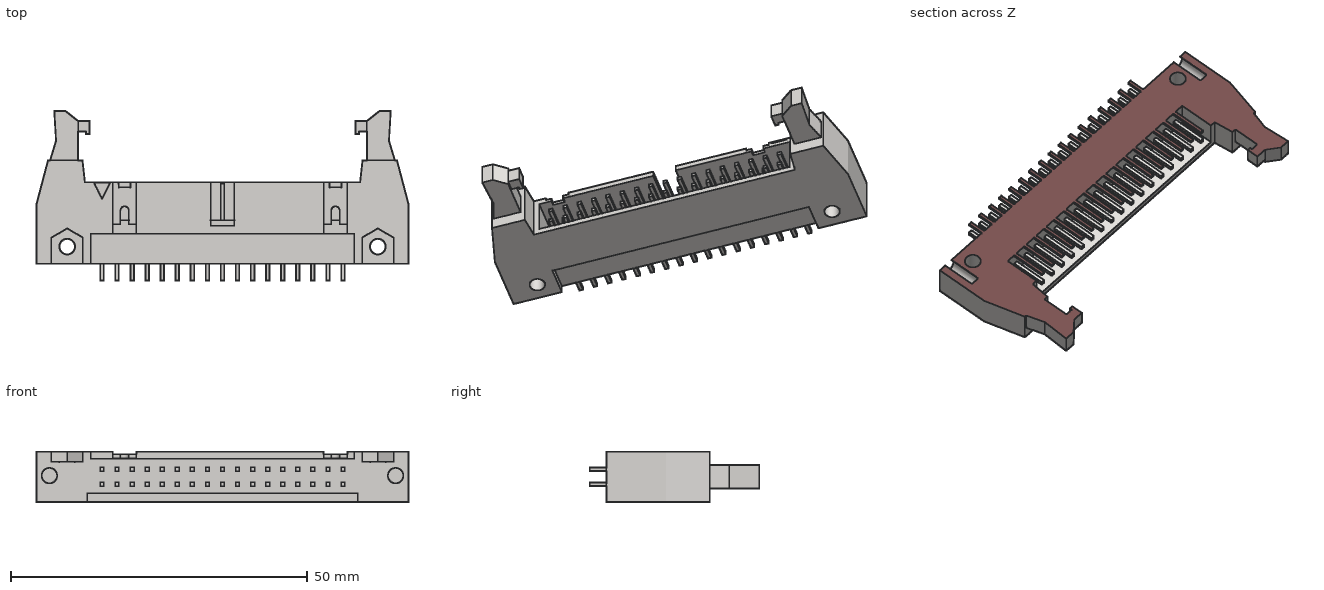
import cadquery as cq
import math


BODY_LENGTH = 62.8
BODY_HEIGHT = 8.5
MID_Z = BODY_HEIGHT / 2
SHROUD_Y = 13.8
TOWER_Y = 17.45
TOWER_SLOPE_Y = 10.05
TOWER_OUTER_X = 29.45
TOWER_INNER_X = 23.6
TOWER_FOOT_X = 23.2

STEP_LENGTH_Y = 5.1
TOP_STEP_DEPTH = 1.2
TOP_STEP_HALF_X = 22.25
BOTTOM_STEP_DEPTH = 1.5
BOTTOM_STEP_HALF_X = 22.8

WALL = 1.1
CAVITY_FLOOR_Y = 7.35
CAVITY_HALF_X = 22.25

PITCH = 2.54
COLUMNS = 17
PIN_SIZE = 0.64
PIN_TAIL = 2.85
PIN_TIP_Y = 13.5
PIN_ONE_X = -PITCH * (COLUMNS - 1) / 2

KEY_WIDTH = 4.0
KEY_FLOOR_Y = 6.45

GROOVE_CENTERS_X = (-6.5 * PITCH, 7.5 * PITCH)
GROOVE_WIDTH = 4.0
GROOVE_DEPTH = 0.43
GROOVE_POCKET_Y = 6.65
GROOVE_SLOT_WIDTH = 1.4
GROOVE_SLOT_END_Y = 9.7
EDGE_NOTCH_WIDTH = 2.05
EDGE_NOTCH_DEPTH = 0.9

MARK_WIDTH = 2.7
MARK_TIP_Y = 10.95
MARK_BASE_Y = 13.65
MARK_DEPTH = 0.15

HOLE_DIAMETER = 2.6
MOUNT_X = 26.2
MOUNT_Y = 2.9
NUT_ACROSS_FLATS = 5.3
NUT_DEPTH = 1.75
FRONT_HOLE_X = 29.2
FRONT_HOLE_Z = 4.45
FRONT_HOLE_DEPTH = 6.0

LATCH_WIDTH_Z = 4.0
LATCH_TIP_Y = 25.8
LATCH_WAIST_Y = 20.75
LATCH_INNER_X = 24.35
LATCH_ROOT_X = 29.1
LATCH_WAIST_X = 28.1
LATCH_TIP_OUTER_X = 28.4
LATCH_TIP_INNER_X = 26.5
HOOK_WIDTH_Z = 2.8
HOOK_TOP_Y = 24.1
HOOK_BOTTOM_Y = 22.3
HOOK_END_X = 22.4
HOOK_LIP_X = 23.05
HOOK_LIP_Y = 21.9


def block(x_range, y_range, z_range):
    """Box spanning the given ranges."""
    x0, x1 = x_range
    y0, y1 = y_range
    z0, z1 = z_range
    return cq.Workplane("XY").box(x1 - x0, y1 - y0, z1 - z0, centered=False).translate((x0, y0, z0))


def span(center, width):
    """Range of the given width about a center."""
    return (center - width / 2, center + width / 2)


def plate(points, z_range):
    """Closed polygon in XY, extruded over a Z range."""
    z0, z1 = z_range
    return cq.Workplane("XY").workplane(offset=z0).polyline(points).close().extrude(z1 - z0)


def both_ends(shape):
    """The shape together with its mirror image about X = 0."""
    return shape.union(shape.mirror("YZ"))


def make_housing():
    right_half = [
        (BODY_LENGTH / 2, 0),
        (BODY_LENGTH / 2, TOWER_SLOPE_Y),
        (TOWER_OUTER_X, TOWER_Y),
        (TOWER_INNER_X, TOWER_Y),
        (TOWER_FOOT_X, SHROUD_Y),
    ]
    left_half = [(-x, y) for x, y in reversed(right_half)]
    body = plate(right_half + left_half, (0, BODY_HEIGHT))
    top_step = block(
        (-TOP_STEP_HALF_X, TOP_STEP_HALF_X),
        (0, STEP_LENGTH_Y),
        (BODY_HEIGHT - TOP_STEP_DEPTH, BODY_HEIGHT),
    )
    bottom_step = block(
        (-BOTTOM_STEP_HALF_X, BOTTOM_STEP_HALF_X),
        (0, STEP_LENGTH_Y),
        (0, BOTTOM_STEP_DEPTH),
    )
    cavity = block(
        (-CAVITY_HALF_X, CAVITY_HALF_X),
        (CAVITY_FLOOR_Y, SHROUD_Y),
        (WALL, BODY_HEIGHT - WALL),
    )
    return body.cut(top_step).cut(bottom_step).cut(cavity)


def make_key_notch():
    return block(span(0, KEY_WIDTH), (KEY_FLOOR_Y, SHROUD_Y), (BODY_HEIGHT - WALL, BODY_HEIGHT))


def make_groove(center_x):
    """Shallow groove with a front pocket, a round-ended slot and a notch in the mating edge."""
    wall_z = (BODY_HEIGHT - WALL, BODY_HEIGHT)
    x_range = span(center_x, GROOVE_WIDTH)
    radius = GROOVE_SLOT_WIDTH / 2
    slot_round_y = GROOVE_SLOT_END_Y - radius
    groove = block(x_range, (STEP_LENGTH_Y, SHROUD_Y), (BODY_HEIGHT - GROOVE_DEPTH, BODY_HEIGHT))
    pocket = block(x_range, (STEP_LENGTH_Y, GROOVE_POCKET_Y), wall_z)
    slot = block(span(center_x, GROOVE_SLOT_WIDTH), (GROOVE_POCKET_Y, slot_round_y), wall_z)
    slot_end = (
        cq.Workplane("XY")
        .workplane(offset=BODY_HEIGHT - WALL)
        .center(center_x, slot_round_y)
        .circle(radius)
        .extrude(WALL)
    )
    edge_notch = block(
        span(center_x, EDGE_NOTCH_WIDTH),
        (SHROUD_Y - EDGE_NOTCH_DEPTH, SHROUD_Y),
        wall_z,
    )
    return groove.union(pocket).union(slot).union(slot_end).union(edge_notch)


def make_pin_one_mark():
    left, right = span(PIN_ONE_X, MARK_WIDTH)
    triangle = [(left, MARK_BASE_Y), (right, MARK_BASE_Y), (PIN_ONE_X, MARK_TIP_Y)]
    return plate(triangle, (BODY_HEIGHT - MARK_DEPTH, BODY_HEIGHT))


def make_mounting_cut():
    """Right-hand screw hole, nut pocket open to the front, and blind hole in the front face."""
    half_flat = NUT_ACROSS_FLATS / 2
    apex = half_flat / math.cos(math.pi / 6)
    shoulder_y = MOUNT_Y + apex / 2
    nut_outline = [
        (MOUNT_X - half_flat, 0),
        (MOUNT_X + half_flat, 0),
        (MOUNT_X + half_flat, shoulder_y),
        (MOUNT_X, MOUNT_Y + apex),
        (MOUNT_X - half_flat, shoulder_y),
    ]
    nut_pocket = plate(nut_outline, (BODY_HEIGHT - NUT_DEPTH, BODY_HEIGHT))
    screw_hole = (
        cq.Workplane("XY").center(MOUNT_X, MOUNT_Y).circle(HOLE_DIAMETER / 2).extrude(BODY_HEIGHT)
    )
    front_hole = (
        cq.Workplane("XZ")
        .center(FRONT_HOLE_X, FRONT_HOLE_Z)
        .circle(HOLE_DIAMETER / 2)
        .extrude(-FRONT_HOLE_DEPTH)
    )
    return nut_pocket.union(screw_hole).union(front_hole)


def make_latch():
    """Right-hand ejector arm with its inward hook."""
    arm_outline = [
        (LATCH_INNER_X, TOWER_Y),
        (LATCH_ROOT_X, TOWER_Y),
        (LATCH_WAIST_X, LATCH_WAIST_Y),
        (LATCH_TIP_OUTER_X, LATCH_TIP_Y),
        (LATCH_TIP_INNER_X, LATCH_TIP_Y),
        (LATCH_INNER_X, HOOK_TOP_Y),
    ]
    hook_outline = [
        (LATCH_INNER_X, HOOK_TOP_Y),
        (HOOK_END_X, HOOK_TOP_Y),
        (HOOK_END_X, HOOK_LIP_Y),
        (HOOK_LIP_X, HOOK_LIP_Y),
        (HOOK_LIP_X, HOOK_BOTTOM_Y),
        (LATCH_INNER_X, HOOK_BOTTOM_Y),
    ]
    arm = plate(arm_outline, span(MID_Z, LATCH_WIDTH_Z))
    hook = plate(hook_outline, span(MID_Z, HOOK_WIDTH_Z))
    return arm.union(hook)


def add_pins(body):
    for column in range(COLUMNS):
        x = PIN_ONE_X + column * PITCH
        for z in (MID_Z - PITCH / 2, MID_Z + PITCH / 2):
            pin = block(span(x, PIN_SIZE), (-PIN_TAIL, PIN_TIP_Y), span(z, PIN_SIZE))
            body = body.union(pin)
    return body


connector = make_housing().cut(make_key_notch()).cut(make_pin_one_mark())
for groove_x in GROOVE_CENTERS_X:
    connector = connector.cut(make_groove(groove_x))
connector = connector.cut(both_ends(make_mounting_cut()))
connector = connector.union(both_ends(make_latch()))
result = add_pins(connector)